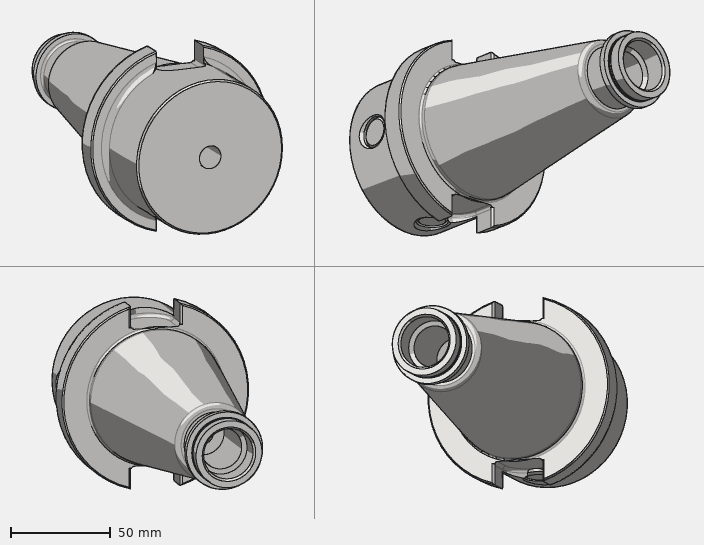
import cadquery as cq
import math

length = 178.8
groove_start, groove_end = 5.9, 7.0
ring_start, ring_end = 7.7, 10.9
taper_start = 24.9
gauge_plane = 127.0
flange_start, flange_end = 130.0, 142.0

spigot_radius = 17.2
groove_depth = 0.2
ring_radius = 19.8
neck_radius = 16.1
gauge_radius = 34.9
taper_slope = 7 / 48
taper_start_radius = gauge_radius - taper_slope * (gauge_plane - taper_start)
flange_radius = 48.6
body_radius = 40.0

ring_back_fillet = 1.3
taper_nose_fillet = 2.7
taper_root_fillet = 1.0
flange_chamfer = 0.7
flange_back_fillet = 3.0
body_end_chamfer = 0.9

slot_angles = (0, 180)
slot_half_width = 12.9
slot_floor = 35.2
slot_fillet = 1.8
slot_entry_chamfer = 1.0
slot_mitre_gap = 0.4

clearance_radius = 12.9
clearance_depth = 11.8
clearance_chamfer = 1.0
thread_radius = 10.5
thread_depth = 44.7
through_radius = 5.9
drill_tip_half_angle = 59.0

screw_station = 161.0
screw_radius = 8.0
screw_chamfer = 1.3
screw_hole_countersink = 1.6
screw_bottom = 17.9
screw_top = 38.0
screw_angles = (-90, 180)


def revolve_about_x(points):
    """Solid of revolution from (x, radius) points."""
    return cq.Workplane("XY").polyline(points).close().revolve(360, (0, 0, 0), (1, 0, 0))


def rim(solid, x, radius):
    """The circular edge of the given radius around the X axis at station x."""
    tolerance = 0.0002
    edges = [
        edge for edge in solid.edges("%CIRCLE").vals()
        if abs(edge.Center().x - x) < tolerance and abs(edge.radius() - radius) < tolerance
    ]
    return solid.newObject(edges)


def make_blank():
    """Outer turned shape: spigot, ring, neck, taper, flange and rear body."""
    groove_radius = spigot_radius - groove_depth
    blank = revolve_about_x([
        (0, 0),
        (0, spigot_radius),
        (groove_start, spigot_radius),
        (groove_start, groove_radius),
        (groove_end, groove_radius),
        (groove_end, spigot_radius),
        (ring_start, spigot_radius),
        (ring_start, ring_radius),
        (ring_end, ring_radius),
        (ring_end, neck_radius),
        (taper_start, neck_radius),
        (taper_start, taper_start_radius),
        (gauge_plane, gauge_radius),
        (flange_start, gauge_radius),
        (flange_start, flange_radius),
        (flange_end, flange_radius),
        (flange_end, body_radius),
        (length, body_radius),
        (length, 0),
    ])
    blank = rim(blank, ring_end, neck_radius).fillet(ring_back_fillet)
    blank = rim(blank, taper_start, taper_start_radius).fillet(taper_nose_fillet)
    blank = rim(blank, flange_start, gauge_radius).fillet(taper_root_fillet)
    blank = rim(blank, flange_start, flange_radius).chamfer(flange_chamfer)
    blank = rim(blank, flange_end, flange_radius).chamfer(flange_chamfer)
    blank = rim(blank, flange_end, body_radius).fillet(flange_back_fillet)
    return rim(blank, length, body_radius).chamfer(body_end_chamfer)


def make_slot_cutter():
    """Cutter for the +Z drive slot: open at the flange front, round at its rear end."""
    cutter = (
        cq.Workplane("XY", origin=(0, 0, slot_floor))
        .moveTo(flange_start, -slot_half_width)
        .lineTo(flange_end, -slot_half_width)
        .threePointArc((flange_end + slot_half_width, 0), (flange_end, slot_half_width))
        .lineTo(flange_start, slot_half_width)
        .close()
        .extrude(flange_radius)
    )
    cutter = cutter.faces("<Z").edges("not <X").fillet(slot_fillet)
    mouth_half_width = slot_half_width + slot_entry_chamfer
    entry = (
        cq.Workplane("XY", origin=(0, 0, slot_floor + slot_fillet / 2))
        .polyline([
            (flange_start, -mouth_half_width),
            (flange_start + slot_entry_chamfer, -slot_half_width),
            (flange_start + slot_entry_chamfer, slot_half_width),
            (flange_start, mouth_half_width),
        ])
        .close()
        .extrude(flange_radius)
    )
    return cutter.union(entry)


def make_mitre_cutter():
    """Trims the fillet behind the flange to a 45-degree mitre on both sides of the +Z slot."""
    inner_half_width = slot_half_width + slot_mitre_gap
    outer_half_width = inner_half_width + flange_back_fillet
    wedge = (
        cq.Workplane("XY")
        .polyline([
            (flange_end, -inner_half_width),
            (flange_end + flange_back_fillet, -outer_half_width),
            (flange_end + flange_back_fillet, outer_half_width),
            (flange_end, inner_half_width),
        ])
        .close()
        .extrude(flange_radius)
    )
    return wedge.cut(cq.Workplane("YZ").circle(body_radius).extrude(length))


def make_bore_cutter():
    """Stepped axial bore from the drawbar end, running out through the rear face."""
    cone_slope = math.tan(math.radians(drill_tip_half_angle))
    clearance_tip = (clearance_radius - thread_radius) / cone_slope
    thread_tip = (thread_radius - through_radius) / cone_slope
    return revolve_about_x([
        (0, 0),
        (0, clearance_radius + clearance_chamfer),
        (clearance_chamfer, clearance_radius),
        (clearance_depth, clearance_radius),
        (clearance_depth + clearance_tip, thread_radius),
        (thread_depth, thread_radius),
        (thread_depth + thread_tip, through_radius),
        (length, through_radius),
        (length, 0),
    ])


def make_screw_hole_cutter():
    """Flat-bottomed radial hole towards +Z, countersunk at the body surface."""
    countersink_start = body_radius - screw_hole_countersink
    hole = (
        cq.Workplane("XY", origin=(screw_station, 0, screw_bottom))
        .circle(screw_radius)
        .extrude(body_radius - screw_bottom)
    )
    countersink = (
        cq.Workplane("XY", origin=(screw_station, 0, countersink_start))
        .circle(screw_radius)
        .workplane(offset=screw_hole_countersink)
        .circle(screw_radius + screw_hole_countersink)
        .loft()
    )
    return hole.union(countersink)


def turn_about_x(solid, angle):
    return solid.rotate((0, 0, 0), (1, 0, 0), angle)


def make_holder():
    holder = make_blank().cut(make_bore_cutter())
    for angle in slot_angles:
        holder = holder.cut(turn_about_x(make_mitre_cutter(), angle))
        holder = holder.cut(turn_about_x(make_slot_cutter(), angle))
    for angle in screw_angles:
        holder = holder.cut(turn_about_x(make_screw_hole_cutter(), angle))
    return holder


def make_screw(angle):
    """Clamping screw filling its hole up to the recessed, chamfered outer face."""
    screw = (
        cq.Workplane("XY", origin=(screw_station, 0, screw_bottom))
        .circle(screw_radius)
        .extrude(screw_top - screw_bottom)
        .faces(">Z")
        .chamfer(screw_chamfer)
    )
    return turn_about_x(screw, angle)


holder = make_holder()
screws = [make_screw(angle) for angle in screw_angles]

result = cq.Compound.makeCompound([holder.solids().val(), *[screw.val() for screw in screws]])